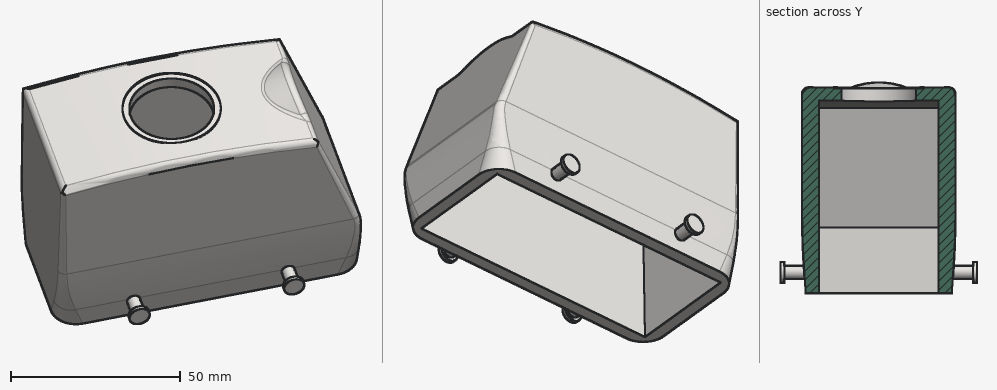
import cadquery as cq
import math

overall_height = 62.26
rim_length = 93.3
upper_width = 45.3
wall = 4.0
end_draft = math.radians(1.0)

skirt_top = 7.0
back_bend_start = 18.8
bend_top = 23.3
trim_allowance = 2.0
loft_top = overall_height + trim_allowance

side_lean = math.radians(4.0)
side_arc_radius = (bend_top - skirt_top) / math.sin(side_lean)

back_slope = math.radians(20.0)
back_arc_radius = (bend_top - back_bend_start) / (math.sin(back_slope) - math.sin(end_draft))

rim_corner_radius = 7.7
skirt_corner_radius = 5.2
bend_corner_radius = 2.1
top_corner_radius = 1.0
blend_steps = 6

roof_apex_y = -6.0
roof_apex_z = 60.9
roof_radius = 300.0
roof_edge_radius = 2.0
roof_zone_height = 6.0

entry_diameter = 25.0
seat_diameter = 29.0
seat_depth = 0.4

lug_radius = 21.0
lug_length = 20.0
lug_edge_z = overall_height + roof_edge_radius * (math.cos(back_slope) + math.sin(back_slope) - 1)

pin_tip_span = 58.0
pin_spacing = 47.2
pin_z = 6.2
pin_diameter = 4.0
pin_head_diameter = 6.2
pin_head_thickness = 1.2


def front_y(z):
    """Y of the drafted front wall."""
    return -rim_length / 2 + z * math.tan(end_draft)


def back_y(z):
    """Y of the back wall: drafted, then an arc, then sloped."""
    draft_z = min(z, back_bend_start)
    arc_z = max(min(z, bend_top), back_bend_start)
    sine = math.sin(end_draft) + (arc_z - back_bend_start) / back_arc_radius
    arc_inset = back_arc_radius * (math.cos(end_draft) - math.sqrt(1 - sine ** 2))
    slope_inset = max(z - bend_top, 0) * math.tan(back_slope)
    return rim_length / 2 - draft_z * math.tan(end_draft) - arc_inset - slope_inset


def half_width(z):
    """Half width in X: a leaning skirt, then an arc, then upright."""
    arc_drop = bend_top - max(min(z, bend_top), skirt_top)
    arc_inset = side_arc_radius - math.sqrt(side_arc_radius ** 2 - arc_drop ** 2)
    skirt_inset = max(skirt_top - z, 0) * math.tan(side_lean)
    return upper_width / 2 - arc_inset - skirt_inset


def corner_radius(z):
    """Corner radius: linear in the skirt and above the bend, a quadratic blend between."""
    if z <= skirt_top:
        return rim_corner_radius + (skirt_corner_radius - rim_corner_radius) * z / skirt_top
    taper = (bend_corner_radius - top_corner_radius) / (loft_top - bend_top)
    radius = bend_corner_radius - taper * (z - bend_top)
    blend_height = bend_top - skirt_top
    blend = max(bend_top - z, 0) / blend_height
    blend_gain = skirt_corner_radius - bend_corner_radius - taper * blend_height
    return radius + blend_gain * blend ** 2


def loft_walls(heights, ruled):
    """Loft through the rounded rectangles found at the given heights."""
    sections = []
    for z in heights:
        length = back_y(z) - front_y(z)
        middle = cq.Vector(0, (front_y(z) + back_y(z)) / 2, z)
        outline = cq.Sketch().rect(2 * half_width(z), length).vertices().fillet(corner_radius(z))
        sections.append(outline.moved(cq.Location(middle)))
    return cq.Workplane("XY").placeSketch(*sections).loft(ruled=ruled)


def make_walls():
    """Solid with the rounded outer walls, running on past the roof."""
    step = (bend_top - skirt_top) / blend_steps
    blend_heights = [skirt_top + i * step for i in range(blend_steps + 1)]
    skirt = loft_walls([0, skirt_top], True)
    blend = loft_walls(blend_heights, False)
    upper = loft_walls([bend_top, loft_top], True)
    return skirt.union(blend).union(upper)


def roof_block(inset, width):
    """Sharp-edged block under the roof, its front, back and roof set in by an amount."""
    back_inset = inset / math.cos(back_slope)
    rim_back = back_y(0) - inset
    sloped_top = back_y(loft_top) - back_inset
    slope_meets_rim = bend_top + (back_y(bend_top) - back_inset - rim_back) / math.tan(back_slope)
    block = (
        cq.Workplane("YZ")
        .moveTo(front_y(0) + inset, 0)
        .lineTo(front_y(loft_top) + inset, loft_top)
        .lineTo(sloped_top, loft_top)
        .lineTo(rim_back, slope_meets_rim)
        .lineTo(rim_back, 0)
        .close()
        .extrude(width / 2, both=True)
    )
    dome = (
        cq.Workplane("YZ")
        .center(roof_apex_y, roof_apex_z - roof_radius)
        .circle(roof_radius - inset)
        .extrude(width, both=True)
    )
    return block.intersect(dome)


def make_lug():
    """Cylinder whose end face lies in the sloped back wall."""
    inward = cq.Vector(0, -math.cos(back_slope), -math.sin(back_slope))
    down_slope = cq.Vector(0, math.sin(back_slope), -math.cos(back_slope))
    edge_point = cq.Vector(0, back_y(lug_edge_z), lug_edge_z)
    centre = edge_point + down_slope * lug_radius
    return cq.Workplane(cq.Plane(centre, (1, 0, 0), inward)).circle(lug_radius).extrude(lug_length)


def make_capped_roof():
    """Roof block with the lug; all roof and lug edges are rounded together."""
    cap = roof_block(0, upper_width).union(make_lug()).clean()
    roof_zone = cq.selectors.BoxSelector(
        (-upper_width, -rim_length, roof_apex_z - roof_zone_height),
        (upper_width, rim_length, loft_top),
    )
    return cap.edges(roof_zone).fillet(roof_edge_radius)


def make_cavity():
    """Straight-sided hollow, open at the rim, leaving the wall thickness around it."""
    return roof_block(wall, 2 * (half_width(0) - wall))


def make_entry():
    """Cable hole through the roof and the shallow seat around it."""
    seat_z = roof_apex_z - seat_depth
    seat = cq.Workplane("XY").workplane(offset=seat_z).center(0, roof_apex_y)
    hole = cq.Workplane("XY").workplane(offset=bend_top).center(0, roof_apex_y)
    return (
        seat.circle(seat_diameter / 2).extrude(loft_top - seat_z)
        .union(hole.circle(entry_diameter / 2).extrude(loft_top - bend_top))
    )


def make_pin(side, y):
    """Headed pin rooted in the side wall; side is +1 for +X and -1 for -X."""
    tip_x = pin_tip_span / 2
    root_x = half_width(0) - wall / 2
    base = cq.Workplane("YZ", origin=(side * root_x, y, pin_z))
    head = cq.Workplane("YZ", origin=(side * (tip_x - pin_head_thickness), y, pin_z))
    shank = base.circle(pin_diameter / 2).extrude(side * (tip_x - root_x))
    return shank.union(head.circle(pin_head_diameter / 2).extrude(side * pin_head_thickness))


result = make_walls().intersect(make_capped_roof())
result = result.cut(make_cavity()).cut(make_entry())
for side in (-1, 1):
    for y in (-pin_spacing / 2, pin_spacing / 2):
        result = result.union(make_pin(side, y))